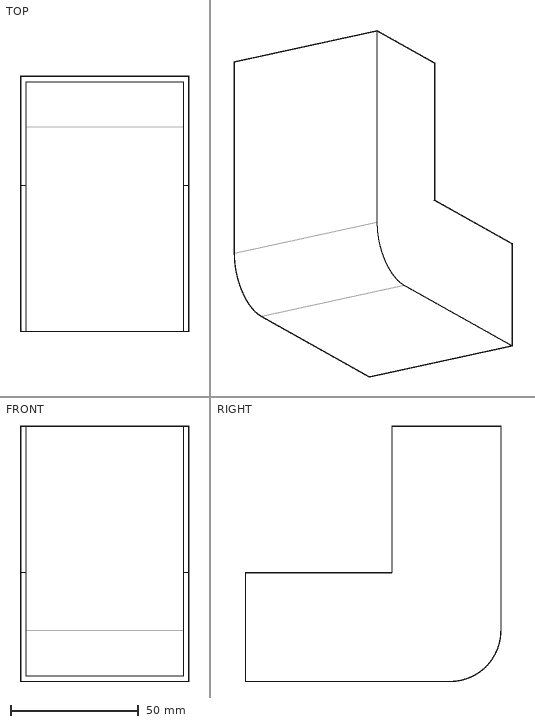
import cadquery as cq

width = 65.9
leg_length = 100.0
leg_depth = 42.7
wall = 2.2
outer_radius = 20.0
cut_overrun = 1.0

inner_radius = outer_radius - wall
inner_width = width - 2 * wall
half_leg = leg_length / 2

bend_start_angle = 270
bend_sweep = 90


def elbow_profile(inset, bend_radius, overrun):
    """L-shaped YZ outline, moved in from the two base faces by inset.

    The legs run along -Y and +Z from the rounded corner at +Y, -Z.
    overrun extends the outline past the open ends and free edges.
    """
    back = half_leg - inset
    bottom = -back
    bend_y = back - bend_radius
    bend_z = bottom + bend_radius
    end = half_leg + overrun
    free_edge = half_leg - leg_depth - overrun
    return (
        cq.Sketch()
        .segment((-end, bottom), (bend_y, bottom))
        .arc((bend_y, bend_z), bend_radius, bend_start_angle, bend_sweep)
        .segment((back, bend_z), (back, end))
        .segment((free_edge, end))
        .segment((free_edge, -free_edge))
        .segment((-end, -free_edge))
        .close()
        .assemble()
    )


def elbow_solid(profile, total_width):
    """Extrude a YZ outline symmetrically about the X = 0 plane."""
    return cq.Workplane("YZ").placeSketch(profile).extrude(total_width / 2, both=True)


body = elbow_solid(elbow_profile(0, outer_radius, 0), width)
channel = elbow_solid(elbow_profile(wall, inner_radius, cut_overrun), inner_width)

result = body.cut(channel)